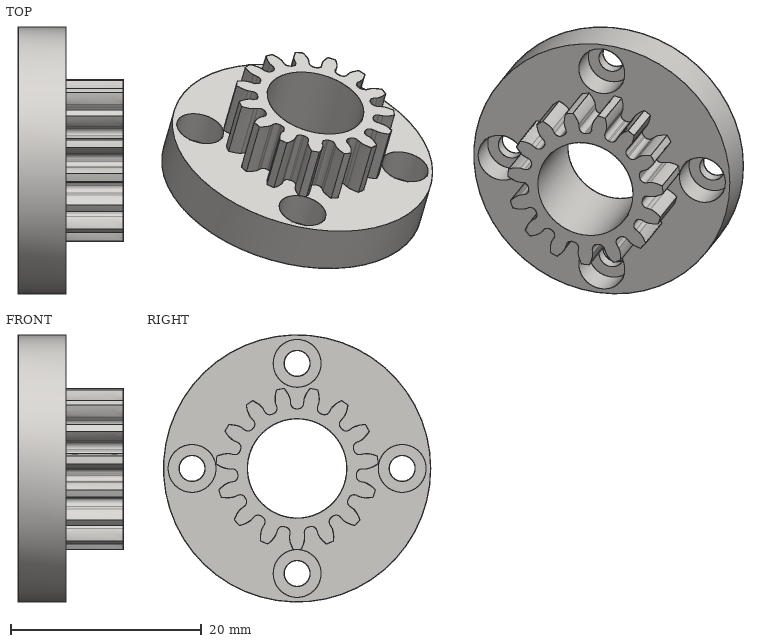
import cadquery as cq
import math

flange_diameter = 28.0
flange_thickness = 5.0
bore_diameter = 10.4

screw_count = 4
screw_circle_diameter = 22.0
screw_hole_diameter = 2.7
screw_head_diameter = 5.0
screw_seat_thickness = 1.5

tooth_count = 15
gear_width = 6.0
tip_diameter = 17.0
pressure_angle = math.radians(14.5)
dedendum_ratio = 1.25
root_fillet_radius = 0.6
flank_point_count = 6

gear_module = tip_diameter / (tooth_count + 2)
pitch_radius = gear_module * tooth_count / 2
tip_radius = tip_diameter / 2
base_radius = pitch_radius * math.cos(pressure_angle)
root_radius = pitch_radius - dedendum_ratio * gear_module
tooth_pitch_angle = 2 * math.pi / tooth_count
first_tooth_angle = tooth_pitch_angle / 4


def involute(angle):
    """Polar angle swept by an involute up to the given pressure angle."""
    return math.tan(angle) - angle


half_base_angle = tooth_pitch_angle / 4 + involute(pressure_angle)
half_tip_angle = half_base_angle - involute(math.acos(base_radius / tip_radius))

fillet_center_radius = root_radius + root_fillet_radius
fillet_span = math.asin(root_fillet_radius / fillet_center_radius)
half_root_angle = half_base_angle + fillet_span
foot_radius = fillet_center_radius * math.cos(fillet_span)


def polar(radius, angle):
    """Y and Z of a point at an angle turned from +Y towards +Z."""
    return (radius * math.cos(angle), radius * math.sin(angle))


def flank_points(tooth_angle, side):
    """Involute points from base circle to tip; side is -1 or +1."""
    points = []
    for index in range(flank_point_count):
        radius = base_radius + (tip_radius - base_radius) * index / (flank_point_count - 1)
        half_angle = half_base_angle - involute(math.acos(min(1.0, base_radius / radius)))
        points.append(polar(radius, tooth_angle + side * half_angle))
    return points


def fillet_middle(tooth_angle, side):
    """Point halfway along the root fillet on one side of a tooth."""
    center_angle = tooth_angle + side * half_root_angle
    center_y, center_z = polar(fillet_center_radius, center_angle)
    middle_direction = center_angle + math.pi + side * (math.pi / 2 - fillet_span) / 2
    offset_y, offset_z = polar(root_fillet_radius, middle_direction)
    return (center_y + offset_y, center_z + offset_z)


def make_flange():
    """Round plate with its ring of counterbored screw holes."""
    flange = cq.Workplane("YZ").circle(flange_diameter / 2).extrude(flange_thickness)
    return (
        flange.faces(">X").workplane()
        .polarArray(screw_circle_diameter / 2, 0, 360, screw_count)
        .cboreHole(screw_hole_diameter, screw_head_diameter, flange_thickness - screw_seat_thickness)
    )


def make_gear():
    """Toothed hub on the +X face of the flange."""
    outline = cq.Workplane("YZ", origin=(flange_thickness, 0, 0))
    outline = outline.moveTo(*polar(root_radius, first_tooth_angle - half_root_angle))
    for index in range(tooth_count):
        tooth = first_tooth_angle + index * tooth_pitch_angle
        next_tooth = tooth + tooth_pitch_angle
        rising_flank = flank_points(tooth, -1)
        falling_flank = flank_points(tooth, 1)[::-1]
        outline = (
            outline
            .threePointArc(fillet_middle(tooth, -1), polar(foot_radius, tooth - half_base_angle))
            .lineTo(*rising_flank[0])
            .spline(rising_flank[1:], includeCurrent=True)
            .threePointArc(polar(tip_radius, tooth), polar(tip_radius, tooth + half_tip_angle))
            .spline(falling_flank[1:], includeCurrent=True)
            .lineTo(*polar(foot_radius, tooth + half_base_angle))
            .threePointArc(fillet_middle(tooth, 1), polar(root_radius, tooth + half_root_angle))
            .threePointArc(
                polar(root_radius, tooth + tooth_pitch_angle / 2),
                polar(root_radius, next_tooth - half_root_angle),
            )
        )
    return outline.close().extrude(gear_width)


def make_bore():
    """Cylinder that passes through the flange and the gear."""
    return cq.Workplane("YZ").circle(bore_diameter / 2).extrude(flange_thickness + gear_width)


result = make_flange().union(make_gear()).cut(make_bore())